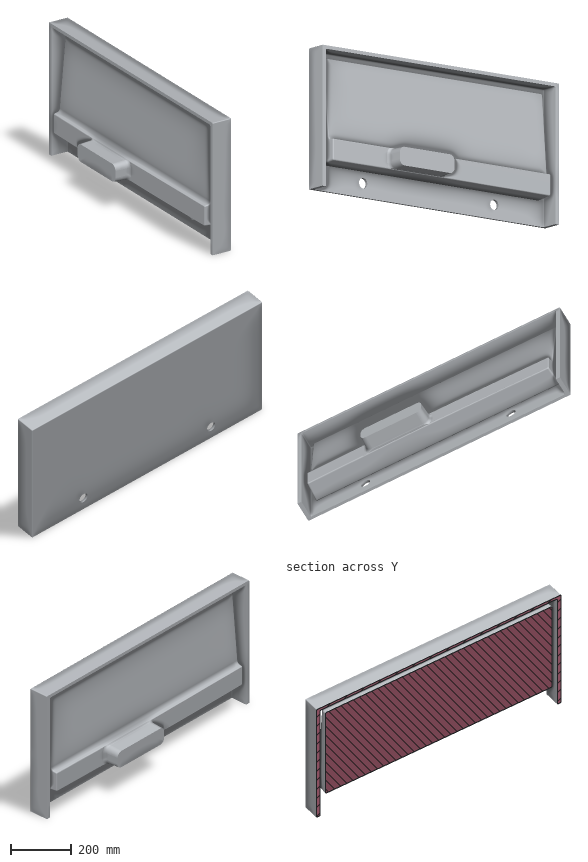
import cadquery as cq
import math

BoxSelector = cq.selectors.BoxSelector
InverseSelector = cq.selectors.InverseSelector
NearestToPointSelector = cq.selectors.NearestToPointSelector


length = 995.0
height = 480.0
rim_depth = 75.0
top_rim_thickness = 12.0
end_rim_thickness = 15.0
wall_thickness = 10.0
outer_round = 3.0
inner_round = 4.0

hole_diameter = 35.0
hole_offset = 276.0
hole_height = 49.0

panel_margin = 35.0
panel_bottom = 87.0
panel_top = height - 32.0
panel_corner = 6.0
panel_draft = 4.0
panel_edge_round = 4.0

slope_top_front = 32.0
slope_foot_front = 59.0
slope_foot_height = 168.0
ledge_top_height = 164.0
slope_foot_round = 12.0

ledge_left_front = 82.0
ledge_right_front = 81.0
ledge_crown_front = 85.0
ledge_crown_x = -70.0

handle_front = 140.0
handle_center_x = -107.0
handle_width = 229.0
handle_bottom = 97.0
handle_top = 160.0
handle_corner_diameter = 45.0
handle_draft = 3.0
handle_root_round = 11.0
handle_flare = 3.0
handle_base_front = 78.0
handle_root_front = 84.0

cut_clearance = 50.0
edge_tolerance = 0.1


def make_housing():
    """Tray open at the front and along its lower edge."""
    shell = cq.Workplane("XY").box(length, rim_depth, height, centered=(True, True, False))
    shell = shell.translate((0, -rim_depth / 2, 0))
    shell = shell.edges("|Y and >Z").fillet(outer_round)
    shell = shell.faces(">Y").edges("not <Z").fillet(outer_round)

    cavity_depth = rim_depth - wall_thickness
    cavity_length = length - 2 * end_rim_thickness
    cavity_height = height - top_rim_thickness + cut_clearance
    cavity = cq.Workplane("XY").box(
        cavity_length, cavity_depth + cut_clearance, cavity_height, centered=(True, False, False)
    )
    cavity = cavity.translate((0, -rim_depth - cut_clearance, -cut_clearance))
    cavity = cavity.edges("|Y and >Z").fillet(inner_round)
    cavity = cavity.faces(">Y").edges("not <Z").fillet(inner_round)

    holes = (
        cq.Workplane("XZ")
        .pushPoints([(-hole_offset, hole_height), (hole_offset, hole_height)])
        .circle(hole_diameter / 2)
        .extrude(rim_depth)
    )
    return shell.cut(cavity).cut(holes)


def make_panel_block():
    """Drafted block under the sloping face and ledge, before they are cut."""
    block = (
        cq.Workplane("XZ", origin=(0, -wall_thickness, (panel_bottom + panel_top) / 2))
        .rect(length - 2 * panel_margin, panel_top - panel_bottom)
        .extrude(handle_front - wall_thickness, taper=panel_draft)
    )
    return block.edges("not (#Y or |X or |Z)").fillet(panel_corner)


def make_side_profile():
    """Side outline of the sloping face and the shelf over the ledge, run along X."""
    slope = (slope_foot_front - slope_top_front) / (panel_top - slope_foot_height)
    shelf_slope = (slope_foot_height - ledge_top_height) / (ledge_crown_front - slope_foot_front)
    shelf_end_height = slope_foot_height - shelf_slope * (handle_front - slope_foot_front)
    top_front = slope_top_front - slope * cut_clearance
    profile = (
        cq.Workplane("YZ", origin=(-length / 2, 0, 0))
        .moveTo(0, 0)
        .lineTo(-handle_front, 0)
        .lineTo(-handle_front, shelf_end_height)
        .lineTo(-slope_foot_front, slope_foot_height)
        .lineTo(-top_front, panel_top + cut_clearance)
        .lineTo(0, panel_top + cut_clearance)
        .close()
        .extrude(length)
    )
    foot_edge = NearestToPointSelector((0, -slope_foot_front, slope_foot_height))
    return profile.edges(foot_edge).fillet(slope_foot_round)


def make_bowed_profile():
    """Plan outline with the bowed ledge front, run along Z."""
    end_x = length / 2 - panel_margin
    return (
        cq.Workplane("XY")
        .moveTo(-end_x, 0)
        .lineTo(-end_x, -ledge_left_front)
        .threePointArc((ledge_crown_x, -ledge_crown_front), (end_x, -ledge_right_front))
        .lineTo(end_x, 0)
        .close()
        .extrude(height)
    )


def make_handle():
    """Drafted grip whose base is sunk in the ledge, with a flared root trimmed to the ledge height."""
    grip_length = handle_front - handle_base_front
    growth = grip_length * math.tan(math.radians(handle_draft))
    middle = (handle_bottom + handle_top) / 2
    base_width = handle_width + 2 * growth
    base_height = handle_top - handle_bottom + 2 * growth
    trim_bottom = handle_bottom - handle_flare
    trim_top = handle_top + handle_flare

    corners = (
        cq.Sketch().rect(base_width, base_height).vertices().fillet(handle_corner_diameter / 2)
    )
    base = cq.Workplane("XZ", origin=(handle_center_x, -handle_base_front, middle))
    grip = base.placeSketch(corners).extrude(grip_length, taper=handle_draft)

    flange_margin = 2 * handle_root_round
    flange = base.rect(base_width + 2 * flange_margin, base_height + 2 * flange_margin).extrude(
        handle_root_front - handle_base_front
    )
    root_edges = BoxSelector(
        (handle_center_x - base_width / 2, -handle_root_front - edge_tolerance, middle - base_height / 2),
        (handle_center_x + base_width / 2, -handle_root_front + edge_tolerance, middle + base_height / 2),
    )
    flared = grip.union(flange).edges(root_edges).fillet(handle_root_round)

    trim = cq.Workplane("XY").box(length, grip_length, trim_top - trim_bottom, centered=(True, False, False))
    trim = trim.translate((0, -handle_front, trim_bottom))
    return flared.intersect(trim)


def make_panel():
    """Sloping panel with its ledge and handle, as one body standing on the rear wall."""
    body = make_panel_block().intersect(make_side_profile()).intersect(make_bowed_profile())
    front_faces = (
        NearestToPointSelector((0, -slope_top_front, panel_top))
        + NearestToPointSelector((0, -slope_foot_front, slope_foot_height))
        + NearestToPointSelector((0, -(slope_foot_front + ledge_crown_front) / 2, ledge_top_height))
        + NearestToPointSelector((0, -ledge_crown_front, (panel_bottom + ledge_top_height) / 2))
    )
    foot_lines = BoxSelector(
        (-edge_tolerance, -ledge_crown_front + panel_edge_round, ledge_top_height),
        (edge_tolerance, -slope_top_front - panel_edge_round, slope_foot_height + 2 * slope_foot_round),
    )
    body = body.faces(front_faces).edges(InverseSelector(foot_lines)).fillet(panel_edge_round)
    return body.union(make_handle())


housing = make_housing()
panel = make_panel()
result = cq.Compound.makeCompound([housing.solids().val(), panel.solids().val()])